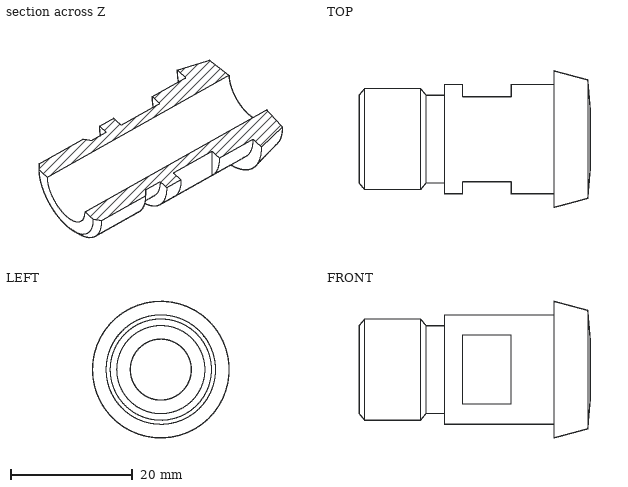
import cadquery as cq

chamfer_length = 0.9
groove_start = 11.0
body_start = 14.0
flange_start = 32.0
rim_end = 37.6
total_length = 38.0

bore_diameter = 10.0
spigot_diameter = 16.66
groove_diameter = 14.5
body_diameter = 18.0
flange_diameter = 22.5
rim_end_diameter = 19.5

flat_start = 17.0
flat_length = 8.0
across_flats = 14.0


def turned_body():
    """Revolve the bored, stepped profile about the X axis.

    The flange rim tapers toward +X and its end face is a shallow cone rising to the bore.
    """
    bore_radius = bore_diameter / 2
    spigot_radius = spigot_diameter / 2
    groove_radius = groove_diameter / 2
    body_radius = body_diameter / 2
    profile = [
        (0, bore_radius),
        (0, groove_radius),
        (chamfer_length, spigot_radius),
        (groove_start - chamfer_length, spigot_radius),
        (groove_start, groove_radius),
        (body_start, groove_radius),
        (body_start, body_radius),
        (flange_start, body_radius),
        (flange_start, flange_diameter / 2),
        (rim_end, rim_end_diameter / 2),
        (total_length, bore_radius),
    ]
    return cq.Workplane("XY").polyline(profile).close().revolve(360, (0, 0, 0), (1, 0, 0))


def flat_cutter(side):
    """Block removing the material outside one wrench flat; side is -1 or +1 along Y."""
    depth = (body_diameter - across_flats) / 2
    center_x = flat_start + flat_length / 2
    center_y = side * (across_flats + depth) / 2
    block = cq.Workplane("XY").box(flat_length, depth, body_diameter)
    return block.translate((center_x, center_y, 0))


result = turned_body()
for side in (-1, 1):
    result = result.cut(flat_cutter(side))